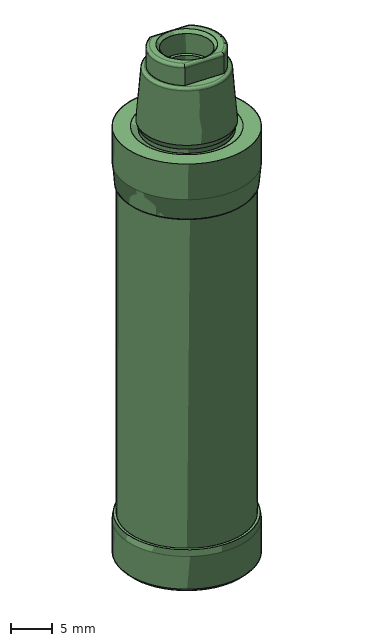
import cadquery as cq

total_height = 71.45
tip_height = 2.85
tip_base = total_height - tip_height
neck_base = 60.95
collar_top = 60.0
collar_taper_start = 55.0
collar_base = 51.95
cap_top = 5.9

collar_radius = 9.0
body_radius = 8.5
collar_base_radius = 8.7
cap_radius = collar_radius
neck_top_radius = 5.5
neck_base_radius = 6.15
tip_radius = 4.9
flat_distance = 4.1

cap_top_bevel_width = 0.15
cap_top_bevel_height = 0.85
cap_base_chamfer = 0.5
collar_lip = 0.2
edge_round = 0.4

recess_radius = 6.8
recess_depth = 0.35
foot_radius = 5.85
foot_top = 60.2

mouth_radius = 3.7
bore_radius = 3.3
mouth_depth = 0.4
bore_depth = 3.2
pilot_radius = 2.85
pilot_depth = 8.6
end_radius = 2.5
end_depth = 9.3
cone_depth = 1.65


def revolve_profile(points):
    """Revolve a closed radius-height outline about the Z axis."""
    return cq.Workplane("XZ").polyline(points).close().revolve(360, (0, 0), (0, 1))


def make_body():
    """Tube body with the lower cap and the tapered collar."""
    return revolve_profile([
        (0, 0),
        (cap_radius - cap_base_chamfer, 0),
        (cap_radius, cap_base_chamfer),
        (cap_radius, cap_top - cap_top_bevel_height),
        (cap_radius - cap_top_bevel_width, cap_top),
        (body_radius, cap_top),
        (body_radius, collar_base),
        (collar_base_radius, collar_base + collar_lip),
        (collar_radius, collar_taper_start),
        (collar_radius, collar_top),
        (recess_radius, collar_top),
        (foot_radius, collar_top - recess_depth),
        (0, collar_top - recess_depth),
    ])


def make_neck():
    """Tapered neck with a narrowed foot and a rounded shoulder."""
    neck = revolve_profile([
        (0, collar_top - recess_depth),
        (foot_radius, collar_top - recess_depth),
        (foot_radius, foot_top),
        (neck_base_radius, neck_base),
        (neck_top_radius, tip_base),
        (0, tip_base),
    ])
    return neck.faces(">Z").edges().fillet(edge_round)


def make_tip():
    """Round tip with a rounded rim and two flats facing along X."""
    tip = cq.Workplane("XY").workplane(offset=tip_base).circle(tip_radius).extrude(tip_height)
    flats = (
        cq.Workplane("XY").workplane(offset=tip_base)
        .rect(2 * flat_distance, 2 * tip_radius).extrude(tip_height)
    )
    tip = tip.intersect(flats)
    return tip.faces(">Z").edges().fillet(edge_round)


def make_bore():
    """Cutter for the stepped blind bore."""
    return revolve_profile([
        (0, total_height),
        (mouth_radius, total_height),
        (bore_radius, total_height - mouth_depth),
        (bore_radius, total_height - bore_depth),
        (pilot_radius, total_height - bore_depth),
        (pilot_radius, total_height - pilot_depth),
        (end_radius, total_height - pilot_depth),
        (end_radius, total_height - end_depth),
        (0, total_height - end_depth - cone_depth),
    ])


result = make_body().union(make_neck()).union(make_tip()).cut(make_bore())